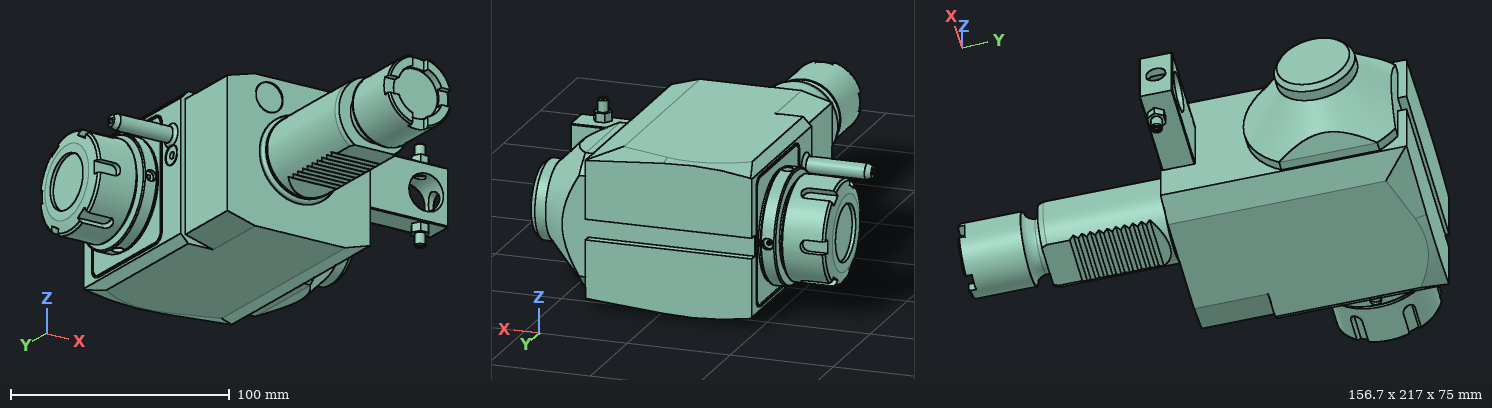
import cadquery as cq


overall_length = 217.0
clearance = 2.2

housing_half_height = 37.5
housing_length = 115.9
housing_half_width = 39.0
side_chamfer_run = 13.9
side_chamfer_drop = 4.1
foot_chamfer_run = 15.0
head_start = 35.0
head_left = -41.7
head_chamfer = 4.1
shoulder_height = housing_half_height - side_chamfer_drop

crown_slope = 0.24
crown_left = (-43.5, 33.5)
crown_tangent = (1.3, 36.2)
crown_right = (43.5, 33.0)
crown_run = 26.0

key_slot_width = 10.0
key_slot_depth = 4.1

plug_x = -16.0
plug_z = 27.5
plug_diameter = 14.8
plug_depth = 0.7

collar_radius = 21.5
collar_round = 1.7
collar_length = 2.5
relief_radius = collar_radius - collar_round
relief_end = 4.0
shank_radius = 20.0
shank_end = 63.0
shank_chamfer = 2.5
shank_chamfer_drop = 0.7
neck_radius = 13.0
neck_flare_start = 65.8
neck_flare_end = 71.5
neck_flare_rise = 4.1
coupling_radius = 17.5
coupling_end = housing_length - overall_length
coupling_chamfer = 0.9
coupling_bore_radius = 12.4
coupling_bore_depth = 4.5
coupling_slot_width = 8.5
coupling_slot_depth = 3.5

rack_flat = -16.0
rack_tooth_height = 1.2
rack_tooth_count = 10
rack_first_tip = 13.5
rack_last_tip = 49.5
rack_pitch = (rack_last_tip - rack_first_tip) / (rack_tooth_count - 1)
rack_ramp_start = 5.2

spindle_y = 80.0
nut_front = -74.5
nut_back = -51.9
nut_radius = 25.0
nut_edge = 1.0
nut_face_radius = 18.2
nut_rim_radius = 23.9
nut_cone_depth = 1.3
nut_back_chamfer = 0.9
nut_bore_radius = 13.7
nut_bore_depth = 1.7
nut_slot_count = 6
nut_slot_width = 6.3
nut_slot_end = -57.5
nut_short_slot_end = -61.5
nut_slot_floor = 21.7
spindle_neck_radius = 21.7

ring_front = -50.1
ring_back = -42.7
ring_radius = 27.5
ring_chamfer = 0.7
ring_neck_radius = 26.5
ring_hole_diameter = 5.5
ring_hole_depth = 2.0
ring_pilot_diameter = 2.0
ring_pilot_depth = 4.0

plate_width = 58.2
plate_height = 63.4
plate_corner = 5.2
plate_groove_width = 0.9
plate_groove_depth = 0.5

pipe_y = 43.0
pipe_z = 17.5
pipe_radius = 4.0
pipe_tip_radius = 2.8
pipe_tip_length = 2.8
pipe_flange_radius = 5.6
pipe_flange_length = 1.5
pipe_socket_width = 2.2
pipe_socket_depth = 2.2
screw_z = 7.8
screw_head_diameter = 9.5
screw_head_depth = 0.5
screw_socket_diameter = 3.3
screw_socket_depth = 2.2

cap_radius = 40.0
cap_slab_end = 43.6
cap_boss_radius = 19.0
cap_end = 72.3
cap_end_chamfer_run = 2.5
cap_end_chamfer_drop = 2.0
cap_flat_z = 32.5
cap_slope = 0.24
cap_flat_y = 111.8

bracket_end = 82.2
bracket_front = 0.7
bracket_back = 16.3
bracket_half_height = 14.5
bracket_edge = 0.5
bracket_bore_x = 70.0
bracket_bore_radius = 9.3
bracket_end_hole_radius = 4.5
stud_y = 5.9
stud_radius = 2.5
stud_top = 25.2
stud_chamfer = 0.7
stud_recess = 1.0
stud_socket = 2.5
stud_socket_depth = 1.3
stud_nut_corners = 9.0
stud_nut_top = 18.9


def cylinder_x(x_start, x_end, radius, y, z=0.0):
    """Cylinder along X between two X positions."""
    return cq.Workplane("YZ", origin=(x_start, y, z)).circle(radius).extrude(x_end - x_start)


def turned_x(profile, y, z=0.0):
    """Turned part along X from (x, radius) points, closed on its axis."""
    outline = [(profile[0][0], 0)] + profile + [(profile[-1][0], 0)]
    flat = cq.Workplane("XY", origin=(0, y, z)).polyline(outline).close()
    return flat.revolve(360, (0, 0, 0), (1, 0, 0))


def both_sides(solid):
    """A solid joined with its mirror image below Z = 0."""
    return solid.union(solid.mirror("XY"))


def make_housing():
    top = housing_half_height
    side = housing_half_width
    chamfer_start = side - side_chamfer_run
    right_edge = [(chamfer_start, -top), (side, -shoulder_height),
                  (side, shoulder_height), (chamfer_start, top)]
    foot_chamfer_start = foot_chamfer_run - side
    foot_left = [(foot_chamfer_start, top), (-side, shoulder_height),
                 (-side, -shoulder_height), (foot_chamfer_start, -top)]
    foot = cq.Workplane("XZ").polyline(right_edge + foot_left).close().extrude(-head_start)

    head_shoulder = top - head_chamfer
    head_chamfer_end = head_left + head_chamfer
    head_edge = [(head_chamfer_end, top), (head_left, head_shoulder),
                 (head_left, -head_shoulder), (head_chamfer_end, -top)]
    head = cq.Workplane("XZ", origin=(0, head_start, 0)).polyline(right_edge + head_edge).close()
    return foot.union(head.extrude(head_start - housing_length))


def make_crown_cut():
    """Material above the arched back end, swept forward and upward."""
    clear = housing_half_height + crown_run * crown_slope
    arch = (
        cq.Workplane("XZ", origin=(0, housing_length, 0))
        .moveTo(*crown_right)
        .lineTo(*crown_tangent)
        .tangentArcPoint(crown_left, relative=False)
        .lineTo(crown_left[0], clear)
        .lineTo(crown_right[0], clear)
        .close()
    )
    sweep = cq.Vector(0, -crown_run, crown_run * crown_slope)
    return both_sides(cq.Workplane(cq.Solid.extrudeLinear(arch.val(), [], sweep)))


def make_key_slot():
    length = 2 * (clearance - head_left)
    slot = cq.Workplane("XY").box(length, 2 * key_slot_depth, key_slot_width)
    return slot.translate((0, housing_length, 0))


def make_shank():
    return (
        cq.Workplane("XY")
        .moveTo(0, 0)
        .lineTo(collar_radius, 0)
        .lineTo(collar_radius, collar_round - collar_length)
        .tangentArcPoint((relief_radius, -collar_length), relative=False)
        .lineTo(relief_radius, -relief_end)
        .lineTo(shank_radius, -relief_end)
        .lineTo(shank_radius, -shank_end + shank_chamfer)
        .lineTo(shank_radius - shank_chamfer_drop, -shank_end)
        .lineTo(neck_radius, -shank_end)
        .lineTo(neck_radius, -neck_flare_start)
        .tangentArcPoint((neck_radius + neck_flare_rise, -neck_flare_end), relative=False)
        .lineTo(coupling_radius, -neck_flare_end)
        .lineTo(coupling_radius, coupling_end + coupling_chamfer)
        .lineTo(coupling_radius - coupling_chamfer, coupling_end)
        .lineTo(0, coupling_end)
        .close()
        .revolve(360, (0, 0, 0), (0, 1, 0))
    )


def make_rack_cut():
    """Everything below the toothed flat, from the run-out ramp to the shank end."""
    root = rack_flat + rack_tooth_height
    floor = -shank_radius - clearance
    outline = [(-shank_end, floor), (-shank_end, rack_flat)]
    for tooth in range(rack_tooth_count):
        tip_y = -rack_last_tip + tooth * rack_pitch
        outline += [(tip_y, rack_flat), (tip_y + rack_pitch / 2, root)]
    outline += [(-rack_ramp_start, -shank_radius), (-rack_ramp_start, floor)]
    cut = cq.Workplane("YZ").polyline(outline).close()
    return cut.extrude(shank_radius, both=True)


def make_coupling_cut():
    """Recess and four driving slots in the shank's free end."""
    face = cq.Workplane("XZ", origin=(0, coupling_end, 0))
    span = 2 * (coupling_radius + clearance)
    cut = face.circle(coupling_bore_radius).extrude(-coupling_bore_depth)
    cut = cut.union(face.rect(span, coupling_slot_width).extrude(-coupling_slot_depth))
    return cut.union(face.rect(coupling_slot_width, span).extrude(-coupling_slot_depth))


def make_spindle():
    rim = nut_front + nut_cone_depth
    return turned_x(
        [
            (nut_front, nut_face_radius),
            (rim, nut_rim_radius),
            (rim + nut_edge, nut_radius),
            (nut_back - nut_back_chamfer, nut_radius),
            (nut_back, nut_radius - nut_back_chamfer),
            (nut_back, spindle_neck_radius),
            (ring_front, spindle_neck_radius),
            (ring_front, ring_radius - ring_chamfer),
            (ring_front + ring_chamfer, ring_radius),
            (ring_back - ring_chamfer, ring_radius),
            (ring_back, ring_radius - ring_chamfer),
            (ring_back, ring_neck_radius),
            (head_left, ring_neck_radius),
        ],
        spindle_y,
    )


def make_nut_slot(slot_end):
    """Flat-floored slot on top of the nut, open at the nut face."""
    half_width = nut_slot_width / 2
    round_start = slot_end - half_width
    return (
        cq.Workplane("XY", origin=(0, spindle_y, nut_slot_floor))
        .moveTo(nut_front - clearance, -half_width)
        .lineTo(round_start, -half_width)
        .threePointArc((slot_end, 0), (round_start, half_width))
        .lineTo(nut_front - clearance, half_width)
        .close()
        .extrude(nut_radius - nut_slot_floor + clearance)
    )


def make_nut_cuts():
    """Front recess and the ring of round-ended spanner slots."""
    cuts = cylinder_x(nut_front, nut_front + nut_bore_depth, nut_bore_radius, spindle_y)
    axis_start = (0, spindle_y, 0)
    axis_end = (1, spindle_y, 0)
    for index in range(nut_slot_count):
        at_mid_height = index % (nut_slot_count // 2) == 0
        slot = make_nut_slot(nut_short_slot_end if at_mid_height else nut_slot_end)
        cuts = cuts.union(slot.rotate(axis_start, axis_end, 90 + index * 360 / nut_slot_count))
    return cuts


def make_ring_holes():
    """Four stepped radial holes in the spindle ring."""
    hole_x = (ring_front + ring_back) / 2
    rim = cq.Workplane("XY", origin=(hole_x, spindle_y, ring_radius))
    hole = rim.circle(ring_hole_diameter / 2).extrude(-ring_hole_depth)
    hole = hole.union(rim.circle(ring_pilot_diameter / 2).extrude(-ring_pilot_depth))
    holes = cq.Workplane("XY")
    for quarter in range(4):
        holes = holes.add(hole.rotate((0, spindle_y, 0), (1, spindle_y, 0), 90 * quarter))
    return holes.combine()


def make_plate_groove():
    def rounded_block(inset):
        width = plate_width - 2 * inset
        height = plate_height - 2 * inset
        face = cq.Workplane("YZ", origin=(head_left, spindle_y, 0)).rect(width, height)
        return face.extrude(plate_groove_depth).edges("|X").fillet(plate_corner - inset)

    return rounded_block(0).cut(rounded_block(plate_groove_width))


def make_pipe():
    pipe = turned_x(
        [
            (nut_front, pipe_tip_radius),
            (nut_front + pipe_tip_length, pipe_radius),
            (head_left - pipe_flange_length, pipe_radius),
            (head_left, pipe_flange_radius),
        ],
        pipe_y,
        pipe_z,
    )
    tip = cq.Workplane("YZ", origin=(nut_front, pipe_y, pipe_z))
    return pipe.cut(tip.rect(pipe_socket_width, pipe_socket_width).extrude(pipe_socket_depth))


def make_screw_recess():
    head_floor = head_left + screw_head_depth
    socket_floor = head_left + screw_socket_depth
    head = cylinder_x(head_left, head_floor, screw_head_diameter / 2, pipe_y, screw_z)
    socket = cylinder_x(head_left, socket_floor, screw_socket_diameter / 2, pipe_y, screw_z)
    return head.union(socket)


def make_cap():
    """Conical rear cap, flattened on top and sloped above and below."""
    cone_end = cap_slab_end + cap_radius - cap_boss_radius
    cap = turned_x(
        [
            (housing_half_width, cap_radius),
            (cap_slab_end, cap_radius),
            (cone_end, cap_boss_radius),
            (cap_end - cap_end_chamfer_run, cap_boss_radius),
            (cap_end, cap_boss_radius - cap_end_chamfer_drop),
        ],
        spindle_y,
    )
    end_z = cap_flat_z - (cap_end - cap_slab_end) * cap_slope
    upper = [(housing_half_width, cap_flat_z), (cap_slab_end, cap_flat_z), (cap_end, end_z)]
    lower = [(x, -z) for x, z in reversed(upper)]
    envelope = cq.Workplane("XZ", origin=(0, cap_flat_y, 0)).polyline(upper + lower).close()
    return cap.intersect(envelope.extrude(cap_flat_y))


def make_bracket():
    length = bracket_end - housing_half_width
    depth = bracket_back - bracket_front
    bar = cq.Workplane("XY").box(length, depth, 2 * bracket_half_height, centered=(False, False, True))
    bar = bar.translate((housing_half_width, bracket_front, 0))
    bar = bar.edges("|X or (>X and |Z)").chamfer(bracket_edge)

    def at_stud(z):
        return cq.Workplane("XY", origin=(bracket_bore_x, stud_y, z))

    stud = at_stud(0).circle(stud_radius).extrude(stud_top).faces(">Z").chamfer(stud_chamfer)
    socket = at_stud(stud_top).polygon(6, stud_socket).extrude(-stud_socket_depth)
    nut_height = stud_nut_top - bracket_half_height
    nut = at_stud(bracket_half_height).polygon(6, stud_nut_corners).extrude(nut_height)
    bar = bar.union(both_sides(stud.union(nut).cut(socket)))

    bore_face = cq.Workplane("XZ", origin=(bracket_bore_x, 0, 0))
    bore = bore_face.circle(bracket_bore_radius).extrude(-bracket_back)
    recess = at_stud(0).circle(stud_radius).extrude(bracket_bore_radius + stud_recess, both=True)
    middle_y = (bracket_front + bracket_back) / 2
    end_hole = cylinder_x(bracket_bore_x, bracket_end, bracket_end_hole_radius, middle_y)
    return bar.cut(bore).cut(recess).cut(end_hole)


plug_recess = (
    cq.Workplane("XZ", origin=(plug_x, 0, plug_z)).circle(plug_diameter / 2).extrude(-plug_depth)
)

housing = make_housing().cut(make_crown_cut()).cut(make_key_slot()).cut(plug_recess)
housing = housing.cut(make_plate_groove()).cut(make_screw_recess())
shank = make_shank().cut(make_rack_cut()).cut(make_coupling_cut())
spindle = make_spindle().cut(make_nut_cuts()).cut(make_ring_holes())

result = housing.union(shank).union(spindle).union(make_pipe()).union(make_cap()).union(make_bracket())